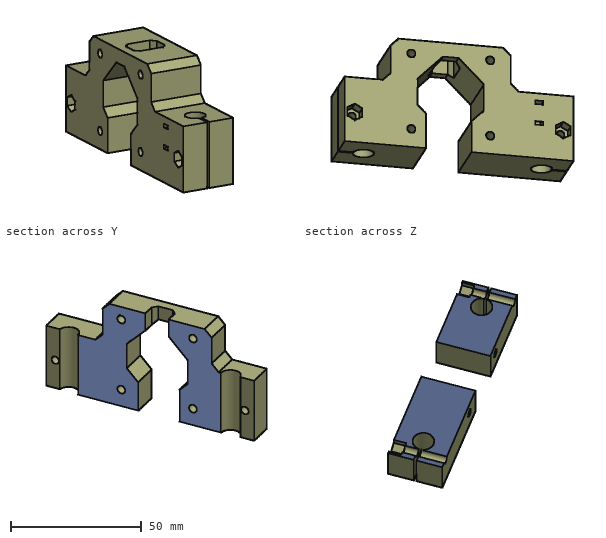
import cadquery as cq

width = 90.0
depth = 22.0
height = 44.07
front_y = -depth / 2
back_y = depth / 2
shoulder_height = 26.57

motor_x = -3.3
motor_z = 22.9
tower_width = 47.3
tower_chamfer = 3.05

opening_width = 26.1
opening_chamfer = 10.0
opening_top = 38.25
opening_low = 17.6
left_lip = 3.4
right_lip = 4.9

motor_hole_spacing = 31.0
motor_hole_diameter = 3.2

window_length = 10.0
window_depth = 13.8
window_chamfer = 1.9

rod_x = 35.0
rod_diameter = 8.1
slit_width = 1.0

clamp_x = 41.0
clamp_z = 12.35
clamp_hole_diameter = 3.2
nut_corners = 6.8
nut_pocket_depth = 5.0

tie_x = 31.5
tie_z = 18.6
tie_width = 3.0
tie_outer_diameter = 10.0
tie_inner_diameter = 7.0


def make_body():
    """Shouldered plate with a chamfered tower and an opening from below."""
    tower_left = motor_x - tower_width / 2
    tower_right = motor_x + tower_width / 2
    tower_shoulder = height - tower_chamfer
    opening_left = motor_x - opening_width / 2
    opening_right = motor_x + opening_width / 2
    opening_high = opening_top - opening_chamfer
    outline = [
        (-width / 2, 0),
        (-width / 2, shoulder_height),
        (tower_left - tower_chamfer, shoulder_height),
        (tower_left, shoulder_height + tower_chamfer),
        (tower_left, tower_shoulder),
        (tower_left + tower_chamfer, height),
        (tower_right - tower_chamfer, height),
        (tower_right, tower_shoulder),
        (tower_right, shoulder_height + tower_chamfer),
        (tower_right + tower_chamfer, shoulder_height),
        (width / 2, shoulder_height),
        (width / 2, 0),
        (opening_right - right_lip, 0),
        (opening_right - right_lip, opening_low - right_lip),
        (opening_right, opening_low),
        (opening_right, opening_high),
        (opening_right - opening_chamfer, opening_top),
        (opening_left + opening_chamfer, opening_top),
        (opening_left, opening_high),
        (opening_left, opening_low),
        (opening_left + left_lip, opening_low - left_lip),
        (opening_left + left_lip, 0),
    ]
    return cq.Workplane("XZ", origin=(0, back_y, 0)).polyline(outline).close().extrude(depth)


def front_to_back_hole(x, z, diameter):
    """Round cutter along Y through the whole depth."""
    return cq.Workplane("XZ", origin=(x, back_y, z)).circle(diameter / 2).extrude(depth)


def motor_holes():
    """Square pattern of four holes around the motor axis."""
    half = motor_hole_spacing / 2
    holes = cq.Workplane("XZ")
    for dx in (-half, half):
        for dz in (-half, half):
            holes = holes.add(front_to_back_hole(motor_x + dx, motor_z + dz, motor_hole_diameter))
    return holes.combine()


def top_window():
    """Rectangular cutter with chamfered corners, from the opening up through the tower."""
    window_height = height - opening_low
    return (
        cq.Workplane("XY", origin=(motor_x, 0, opening_low))
        .rect(window_length, window_depth)
        .extrude(window_height)
        .edges("|Z")
        .chamfer(window_chamfer)
    )


def rod_clamp(side):
    """Rod bore, slit, clamp screw hole and nut pocket; side is -1 (left) or 1 (right)."""
    bore = cq.Workplane("XY", origin=(side * rod_x, 0, 0)).circle(rod_diameter / 2).extrude(height)
    slit_length = width / 2 - rod_x
    slit = cq.Workplane("XY", origin=(side * (rod_x + slit_length / 2), 0, 0))
    slit = slit.rect(slit_length, slit_width).extrude(height)
    screw = front_to_back_hole(side * clamp_x, clamp_z, clamp_hole_diameter)
    nut = (
        cq.Workplane("XZ", origin=(side * clamp_x, front_y, clamp_z))
        .transformed(rotate=(0, 0, 90))
        .polygon(6, nut_corners)
        .extrude(-nut_pocket_depth)
    )
    return bore.union(slit).union(screw).union(nut)


def tie_channel():
    """Ring about the X direction centred on the front face, so that half of it cuts the part."""
    return (
        cq.Workplane("YZ", origin=(tie_x - tie_width / 2, front_y, tie_z))
        .circle(tie_outer_diameter / 2)
        .circle(tie_inner_diameter / 2)
        .extrude(tie_width)
    )


result = make_body().cut(motor_holes()).cut(top_window()).cut(tie_channel())
for clamp_side in (-1, 1):
    result = result.cut(rod_clamp(clamp_side))